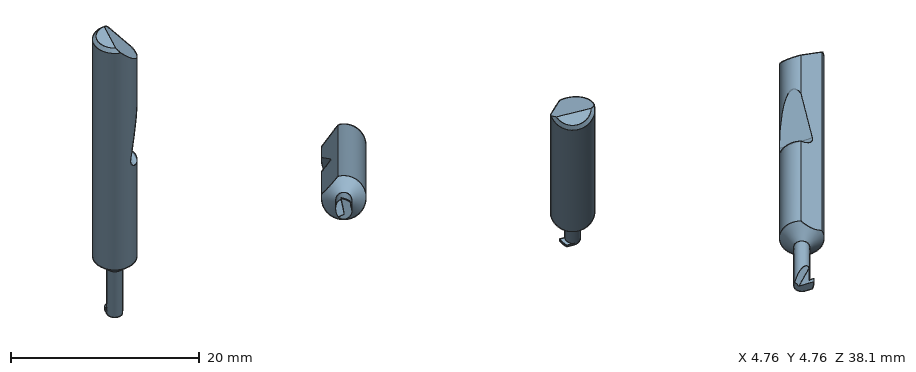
import cadquery as cq
import math


TOTAL_LENGTH = 38.1
SHANK_RADIUS = 4.76 / 2
SHANK_BOTTOM = 7.9
NECK_RADIUS = 0.86
CONE_BOTTOM = SHANK_BOTTOM - (SHANK_RADIUS - NECK_RADIUS)
TOP_CHAMFER = 0.4

FLAT_ANGLE = 144.0
FLAT_DISTANCE = 2.0

BEVEL_START = 35.18

NOTCH_BOTTOM = 21.1
NOTCH_TOP = 29.9
NOTCH_SLOPE = 10.0
NOTCH_RADIUS = 1.2

HOOK_TOP = 0.55
RAKE_Y = 0.02
TIP_X = -1.43
RELIEF_END_X = -NECK_RADIUS
RELIEF_RADIUS = 2.7
END_CLEARANCE = 2.5

CHIP_WALL_X = 0.35
CHIP_WALL_LEAN = 25.0
CHIP_WALL_TURN = -15.0

CUT_SIZE = 4 * SHANK_RADIUS


def make_bar():
    """Shank, cone and neck turned about Z, starting from the -X side."""
    return (
        cq.Workplane("XZ")
        .moveTo(0, 0)
        .lineTo(-NECK_RADIUS, 0)
        .lineTo(-NECK_RADIUS, CONE_BOTTOM)
        .lineTo(-SHANK_RADIUS, SHANK_BOTTOM)
        .lineTo(-SHANK_RADIUS, TOTAL_LENGTH - TOP_CHAMFER)
        .lineTo(-SHANK_RADIUS + TOP_CHAMFER, TOTAL_LENGTH)
        .lineTo(0, TOTAL_LENGTH)
        .close()
        .revolve(360, (0, 0), (0, 1))
    )


def make_flat_cut():
    """Block that leaves the locating flat."""
    return (
        cq.Workplane("XY")
        .box(CUT_SIZE, CUT_SIZE, TOTAL_LENGTH - CONE_BOTTOM, centered=(False, True, False))
        .translate((FLAT_DISTANCE, 0, CONE_BOTTOM))
        .rotate((0, 0, 0), (0, 0, 1), FLAT_ANGLE)
    )


def make_bevel_cut():
    """Wedge above the 45 degree bevel."""
    return (
        cq.Workplane("YZ")
        .moveTo(SHANK_RADIUS, BEVEL_START)
        .lineTo(SHANK_RADIUS, BEVEL_START + CUT_SIZE)
        .lineTo(SHANK_RADIUS - CUT_SIZE, BEVEL_START + CUT_SIZE)
        .close()
        .extrude(SHANK_RADIUS, both=True)
    )


def make_notch_cut():
    """Sloped notch with a level floor and a rounded inner corner."""
    depth = (NOTCH_TOP - NOTCH_BOTTOM) * math.tan(math.radians(NOTCH_SLOPE))
    corner_y = SHANK_RADIUS - depth
    return (
        cq.Workplane("YZ")
        .moveTo(SHANK_RADIUS, NOTCH_BOTTOM)
        .lineTo(SHANK_RADIUS, NOTCH_TOP)
        .lineTo(corner_y, NOTCH_BOTTOM)
        .close()
        .extrude(SHANK_RADIUS, both=True)
        .edges("|X and <Y")
        .fillet(NOTCH_RADIUS)
    )


def make_hook():
    """Cutting hook with its rake face parallel to the XZ plane."""
    return (
        cq.Workplane("XY")
        .moveTo(0, RAKE_Y)
        .lineTo(TIP_X, RAKE_Y)
        .radiusArc((RELIEF_END_X, -NECK_RADIUS), -RELIEF_RADIUS)
        .lineTo(0, -NECK_RADIUS)
        .close()
        .extrude(HOOK_TOP)
    )


def make_chip_cut():
    """Space on the +Y side of the rake face, behind the leaning wall."""
    wall_side = (
        cq.Workplane("XY")
        .box(CUT_SIZE, CUT_SIZE, CUT_SIZE)
        .translate((-CUT_SIZE / 2, 0, 0))
        .rotate((0, 0, 0), (0, 1, 0), -CHIP_WALL_LEAN)
        .rotate((0, 0, 0), (0, 0, 1), CHIP_WALL_TURN)
        .translate((CHIP_WALL_X, 0, 0))
    )
    rake_side = (
        cq.Workplane("XY")
        .box(CUT_SIZE, CUT_SIZE, CONE_BOTTOM, centered=(True, False, False))
        .translate((0, RAKE_Y, 0))
    )
    return wall_side.intersect(rake_side)


def make_end_cut():
    """Wedge below the end face, which rises from the tip."""
    end_x = NECK_RADIUS
    rise = (end_x - TIP_X) * math.tan(math.radians(END_CLEARANCE))
    return (
        cq.Workplane("XZ")
        .moveTo(TIP_X, 0)
        .lineTo(end_x, 0)
        .lineTo(end_x, rise)
        .close()
        .extrude(NECK_RADIUS, both=True)
    )


result = (
    make_bar()
    .cut(make_flat_cut())
    .cut(make_bevel_cut())
    .cut(make_notch_cut())
    .union(make_hook())
    .cut(make_chip_cut())
    .cut(make_end_cut())
)